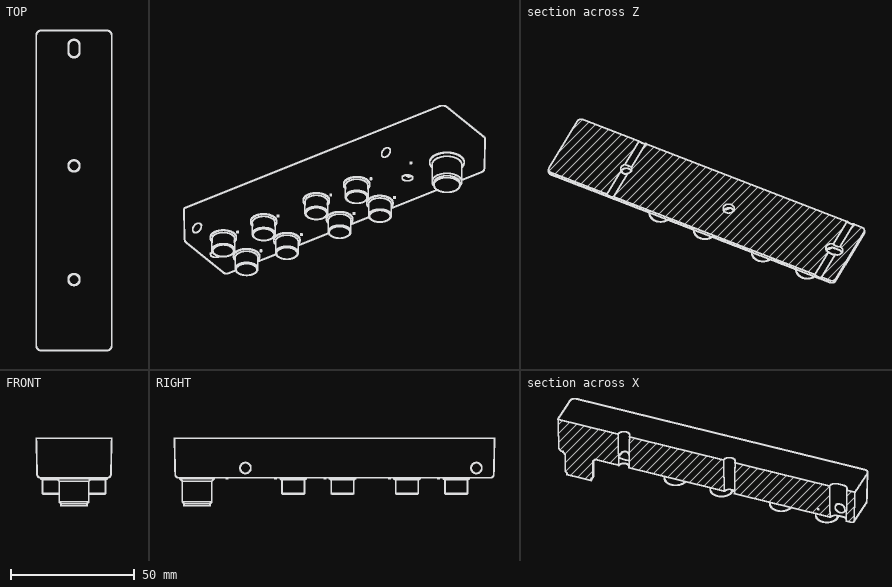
import cadquery as cq
import math

length = 129.7
width = 30.6
block_height = 16.1
wall_draft = 1.2
corner_radius = 2.1
bottom_fillet = 1.5

hole_diameter = 4.3
hole_top_diameter = 4.8
slot_travel = 2.6
slot_y = 57.5
middle_hole_y = 10.0
end_hole_y = -36.0
cross_hole_z = -12.0

socket_diameter = 9.2
socket_base_diameter = 10.6
socket_base_height = 0.8
socket_bottom_z = -22.7
socket_chamfer = 0.4
socket_row_x = 8.2
socket_pitch = 20.0
socket_group_starts = (49.3, 3.2)
sockets_per_group = 2

connector_y = -55.6
connector_diameter = 12.0
connector_base_diameter = 14.0
connector_base_height = 1.3
connector_tip_diameter = 10.6
connector_tip_height = 0.9
connector_bottom_z = -27.4

lamp_diameter = 0.6
lamp_height = 0.4
lamp_offset = 7.1
end_lamp_y = -43.6

base_rim = 0.3
embed = 1.3

socket_ys = [
    start - index * socket_pitch
    for start in socket_group_starts
    for index in range(sockets_per_group)
]
lamp_ys = [y - lamp_offset for y in socket_ys] + [end_lamp_y]


def make_block():
    outline = cq.Sketch().rect(width, length).vertices().fillet(corner_radius)
    block = cq.Workplane("XY").placeSketch(outline).extrude(-block_height, taper=wall_draft)
    return block.faces("<Z").edges().fillet(bottom_fillet)


def turned(profile, x, y):
    """Revolve (radius, z) points about the vertical line through (x, y)."""
    return (
        cq.Workplane("XZ")
        .polyline(profile)
        .close()
        .revolve(360, (0, 0, 0), (0, 1, 0))
        .translate((x, y, 0))
    )


def make_socket(x, y):
    radius = socket_diameter / 2
    base_radius = socket_base_diameter / 2
    profile = [
        (0, embed - block_height),
        (base_radius, embed - block_height),
        (base_radius, -block_height - base_rim),
        (radius, -block_height - socket_base_height),
        (radius, socket_bottom_z + socket_chamfer),
        (radius - socket_chamfer, socket_bottom_z),
        (0, socket_bottom_z),
    ]
    return turned(profile, x, y)


def make_connector():
    radius = connector_diameter / 2
    base_radius = connector_base_diameter / 2
    tip_radius = connector_tip_diameter / 2
    tip_z = connector_bottom_z + connector_tip_height
    profile = [
        (0, embed - block_height),
        (base_radius, embed - block_height),
        (base_radius, -block_height - base_rim),
        (radius, -block_height - connector_base_height),
        (radius, tip_z + radius - tip_radius),
        (tip_radius, tip_z),
        (tip_radius, connector_bottom_z),
        (0, connector_bottom_z),
    ]
    return turned(profile, 0, connector_y)


def make_lamp(x, y):
    return (
        cq.Workplane("XY", origin=(x, y, embed - block_height))
        .circle(lamp_diameter / 2)
        .extrude(-embed - lamp_height)
    )


hole_taper = math.degrees(math.atan((hole_top_diameter - hole_diameter) / 2 / block_height))


def cut_mounting_holes(body):
    round_holes = (
        cq.Workplane("XY")
        .pushPoints([(0, middle_hole_y), (0, end_hole_y)])
        .circle(hole_top_diameter / 2)
        .extrude(-block_height, taper=hole_taper)
    )
    slot = (
        cq.Workplane("XY", origin=(0, slot_y, 0))
        .slot2D(slot_travel + hole_top_diameter, hole_top_diameter, 90)
        .extrude(-block_height, taper=hole_taper)
    )
    cross_holes = (
        cq.Workplane("YZ")
        .pushPoints([(slot_y, cross_hole_z), (end_hole_y, cross_hole_z)])
        .circle(hole_diameter / 2)
        .extrude(width / 2, both=True)
    )
    return body.cut(round_holes).cut(slot).cut(cross_holes)


result = make_block().union(make_connector())
for row_x in (-socket_row_x, socket_row_x):
    for socket_y in socket_ys:
        result = result.union(make_socket(row_x, socket_y))
    for lamp_y in lamp_ys:
        result = result.union(make_lamp(row_x, lamp_y))
result = cut_mounting_holes(result)